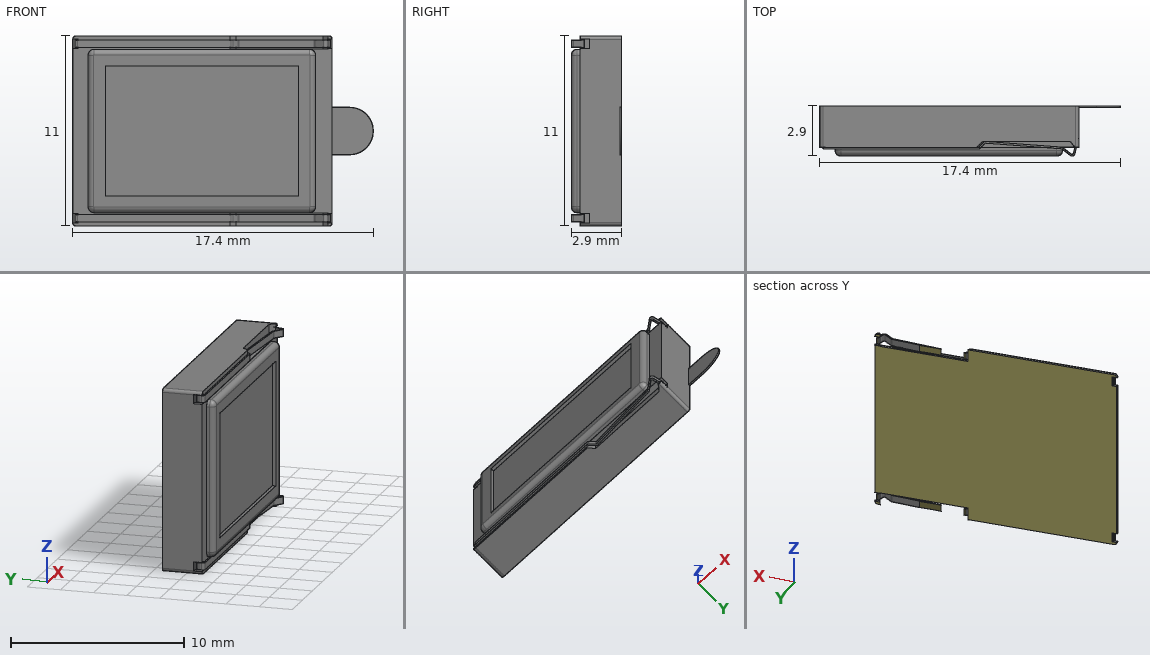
import cadquery as cq
import math

CASE_WIDTH = 15.0
CASE_HEIGHT = 11.0
CASE_DEPTH = 2.4
CASE_EDGE_RADIUS = 0.2
CASE_LEFT = -CASE_WIDTH / 2
CASE_RIGHT = CASE_WIDTH / 2

BEZEL_WIDTH = 13.15
BEZEL_HEIGHT = 9.45
BEZEL_RISE = 0.5
BEZEL_SHIFT_X = -0.035
BEZEL_CORNER_RADIUS = 0.35
BEZEL_FRONT_RADIUS = 0.32
WINDOW_WIDTH = 11.15
WINDOW_HEIGHT = 7.5
WINDOW_DEPTH = 0.2

TAB_LENGTH = 2.38
TAB_HEIGHT = 2.75
TAB_THICKNESS = 0.1

STRIP_THICKNESS = 0.1
STRIP_WIDTH = 0.42
STRIP_CENTER_Z = 5.04
BEND_RADIUS = 0.12
HOOK_GAP = 0.12
HOOK_DEPTH = 0.41
CONTACT_BEND_X = 6.5
CONTACT_BEND_Y = -0.03
DIP_ANGLE = 37.5
RETURN_LEAN = 14.0
RETURN_END_Y = 0.25

RECESS_START_X = 1.58
RECESS_DEPTH = 0.35
RAMP_ANGLE = 45.0
RAMP_LENGTH = RECESS_DEPTH / math.tan(math.radians(RAMP_ANGLE))
RECESS_FLOOR_END_X = 6.98
RECESS_END_X = 7.25
RECESS_INNER_Z = 4.75
RAMP_GAP = 0.1
NOTCH_HEIGHT = 0.54
NOTCH_DEPTH = 0.53
LEFT_NOTCH_LENGTH = 0.3
RIGHT_NOTCH_LENGTH = 0.28

SIDES = (1, -1)


def block(x_min, x_max, y_min, y_max, z_min, z_max):
    """Box between two opposite corners."""
    size = (x_max - x_min, y_max - y_min, z_max - z_min)
    return cq.Workplane().box(*size, centered=False).translate((x_min, y_min, z_min))


def centered_plate(width, height, center_x, y_min, y_max):
    """Box centred on Z = 0 that spans the given Y range."""
    return block(center_x - width / 2, center_x + width / 2, y_min, y_max, -height / 2, height / 2)


def make_case_box():
    box = centered_plate(CASE_WIDTH, CASE_HEIGHT, 0, 0, CASE_DEPTH)
    return box.edges("|Y").fillet(CASE_EDGE_RADIUS)


def make_bezel():
    frame = centered_plate(BEZEL_WIDTH, BEZEL_HEIGHT, BEZEL_SHIFT_X, -BEZEL_RISE, 0)
    frame = frame.edges("|Y").fillet(BEZEL_CORNER_RADIUS)
    return frame.faces("<Y").edges().fillet(BEZEL_FRONT_RADIUS)


def make_window():
    floor_y = WINDOW_DEPTH - BEZEL_RISE
    return centered_plate(WINDOW_WIDTH, WINDOW_HEIGHT, BEZEL_SHIFT_X, -BEZEL_RISE, floor_y)


def make_tab():
    radius = TAB_HEIGHT / 2
    arc_center_x = CASE_RIGHT + TAB_LENGTH - radius
    strip = centered_plate(
        arc_center_x, TAB_HEIGHT, arc_center_x / 2, CASE_DEPTH - TAB_THICKNESS, CASE_DEPTH
    )
    tip = (
        cq.Workplane("XZ", origin=(arc_center_x, CASE_DEPTH, 0))
        .circle(radius)
        .extrude(TAB_THICKNESS)
    )
    return strip.union(tip)


def make_spring_recess(side):
    """Pocket with sloped ends, open to the front and to the outer side."""
    outer_z = CASE_HEIGHT / 2
    return (
        cq.Workplane("XY", origin=(0, 0, side * RECESS_INNER_Z))
        .moveTo(RECESS_START_X, 0)
        .lineTo(RECESS_START_X + RAMP_LENGTH, RECESS_DEPTH)
        .lineTo(RECESS_FLOOR_END_X, RECESS_DEPTH)
        .lineTo(RECESS_END_X, 0)
        .close()
        .extrude(side * (outer_z - RECESS_INNER_Z))
    )


def make_end_notches(side):
    """Notches at both ends of a spring, open to the front and to the end face."""
    z_min = side * STRIP_CENTER_Z - NOTCH_HEIGHT / 2
    z_max = z_min + NOTCH_HEIGHT
    left = block(CASE_LEFT, CASE_LEFT + LEFT_NOTCH_LENGTH, 0, NOTCH_DEPTH, z_min, z_max)
    right = block(CASE_RIGHT - RIGHT_NOTCH_LENGTH, CASE_RIGHT, 0, NOTCH_DEPTH, z_min, z_max)
    return left.union(right)


def make_housing():
    body = make_case_box().union(make_bezel()).union(make_tab()).cut(make_window())
    for side in SIDES:
        body = body.cut(make_spring_recess(side)).cut(make_end_notches(side))
    return body


def contact_tip_corner():
    """Corner of the strip centre line whose rounded outside is level with the bezel front."""
    dip = math.radians(DIP_ANGLE)
    lean = math.radians(RETURN_LEAN)
    return_angle = math.pi / 2 - lean
    half_turn = (dip + return_angle) / 2
    bisector = (return_angle - dip) / 2 + math.pi / 2
    corner_to_arc_center = BEND_RADIUS / math.cos(half_turn) * math.sin(bisector)
    y = -BEZEL_RISE + STRIP_THICKNESS / 2 + BEND_RADIUS - corner_to_arc_center
    x = CONTACT_BEND_X + (CONTACT_BEND_Y - y) / math.tan(dip)
    return x, y


def spring_corners():
    """Corners of the strip centre line, from the left hook to the end of the contact."""
    half = STRIP_THICKNESS / 2
    hook_x = CASE_LEFT + HOOK_GAP + half
    hook_y = HOOK_DEPTH - half
    ramp_shift = RAMP_GAP + half * math.tan(math.radians(RAMP_ANGLE) / 2)
    ramp_x = RECESS_START_X + ramp_shift
    tip_x, tip_y = contact_tip_corner()
    return_end_x = tip_x + (RETURN_END_Y - tip_y) * math.tan(math.radians(RETURN_LEAN))
    return [
        (CASE_LEFT + LEFT_NOTCH_LENGTH, hook_y),
        (hook_x, hook_y),
        (hook_x, -half),
        (ramp_x, -half),
        (ramp_x + RAMP_LENGTH, RECESS_DEPTH - half),
        (CONTACT_BEND_X, CONTACT_BEND_Y),
        (tip_x, tip_y),
        (return_end_x, RETURN_END_Y),
    ]


def rounded_path(corners, radius):
    """Wire through the corners, with an arc of the given radius at each bend."""
    points = [cq.Vector(*corner) for corner in corners]
    path = cq.Workplane("XY").moveTo(*corners[0])
    for before, corner, after in zip(points, points[1:], points[2:]):
        incoming = (corner - before).normalized()
        outgoing = (after - corner).normalized()
        setback = radius * math.tan(incoming.getAngle(outgoing) / 2)
        arc_start = corner - incoming * setback
        arc_end = corner + outgoing * setback
        path = path.lineTo(arc_start.x, arc_start.y)
        path = path.tangentArcPoint((arc_end.x, arc_end.y), relative=False)
    return path.lineTo(*corners[-1])


def make_spring(side):
    corners = spring_corners()
    section = cq.Workplane("YZ", origin=(*corners[0], 0)).rect(STRIP_THICKNESS, STRIP_WIDTH)
    spring = section.sweep(rounded_path(corners, BEND_RADIUS))
    return spring.translate((0, 0, side * STRIP_CENTER_Z))


housing = make_housing()
springs = [make_spring(side) for side in SIDES]

result = cq.Compound.makeCompound([housing.solids().val(), *[spring.val() for spring in springs]])